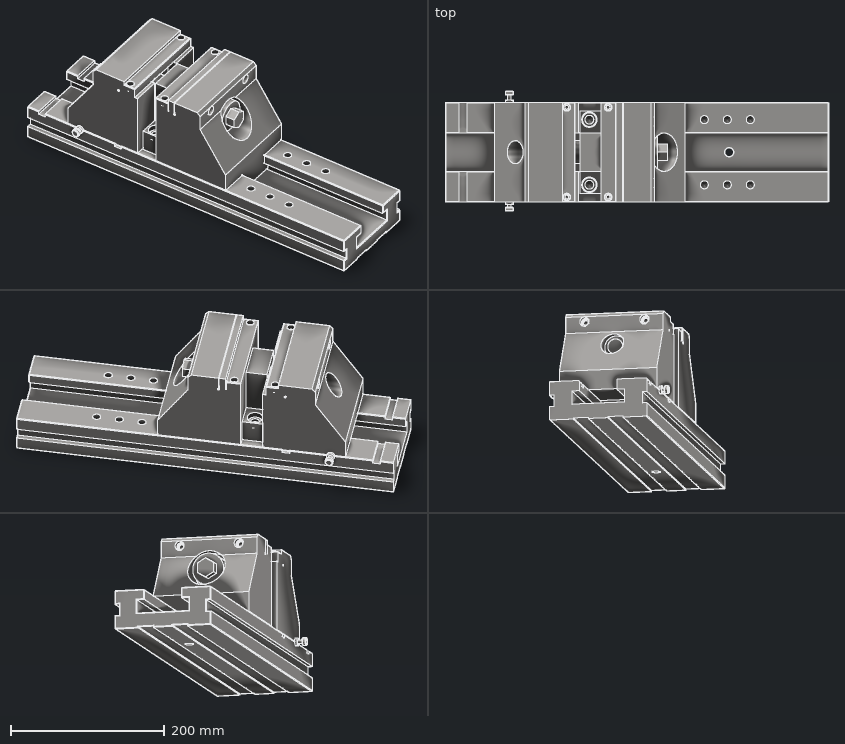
import cadquery as cq
import math

overall_height = 161.0
edge_chamfer = 1.0

rail_length = 500.0
half_width = 65.0
rail_height = 51.0
slot_half_width = 25.0
tee_half_width = 35.0
tee_floor = 20.0
tee_ceiling = 37.5
side_groove_bottom = 18.0
side_groove_top = 33.0
side_groove_depth = 6.0
foot_recess_near = 13.0
foot_recess_far = 33.0
foot_recess_depth = 1.5
key_groove_starts = (17.5, 137.5)
key_groove_width = 10.0
key_groove_depth = 4.5
tapped_hole_start = 337.5
tapped_hole_pitch = 30.0
tapped_hole_count = 3
tapped_hole_y = 42.5
tapped_hole_diameter = 10.5
tapped_hole_depth = 15.0
drain_hole_x = 370.0
drain_hole_diameter = 11.5

screw_sink_depth = 7.0
head_gap_depth = 2.5
socket_depth = 5.0
drill_point_angle = 118.0

jaw_length = 110.0
fixed_jaw_face = 173.5
moving_jaw_face = 202.5
jaw_top_setback = 40.0
jaw_shoulder = 77.0
jaw_slope_top = 135.0
jaw_top_chamfer = 4.5
seat_height = 142.0
pad_low_top = 156.0
pad_screw_y = 58.5
pad_screw_bore = 10.0
pad_screw_head = 8.5
pad_screw_socket = 5.0
seat_relief_diameter = 2.5
back_bolt_y = 40.0
back_bolt_z = 150.0
back_bolt_bore = 12.0
back_bolt_head = 10.5
back_bolt_socket = 7.0

fixed_pad_back = 143.5
fixed_pad_step = 152.5
fixed_pad_face = 169.0
fixed_pad_screw_x = 158.0
moving_pad_step = 222.5
moving_seat_back = 232.0
moving_pad_screw_x = 212.0
relief_width = 1.0
relief_floor = 143.0

key_setback = 3.5
pocket_start = 160.0
locating_pin_x = 83.0
pin_diameter = 10.5
pin_neck_diameter = 5.0
pin_flange_thickness = 3.0
plus_y_neck_length = 6.5
minus_y_neck_length = 3.5
pin_head_thickness = 5.5
pin_head_chamfer = 1.0

tongue_bottom = 24.5
tongue_clearance = 1.0
tongue_chamfer = 1.5

screw_axis_z = 116.5
screw_diameter = 30.0
screw_tip_x = 110.0
screw_tip_chamfer = 5.0
collar_bore = 50.0
collar_diameter = 42.0
collar_start = 250.0
collar_end = 276.5
hex_end = 289.5
hex_across_flats = 22.0
hex_sides = 6
block_start = 175.0
block_half_width = 54.0
block_flange_top = 81.5
block_bolt_x = 187.5
bolt_head_bore = 20.0
bolt_head_diameter = 18.0
bolt_socket_diameter = 11.5

jaw_top_length = jaw_length - jaw_top_setback
fixed_jaw_back = fixed_jaw_face - jaw_length
fixed_jaw_top_back = fixed_jaw_face - jaw_top_length
moving_jaw_back = moving_jaw_face + jaw_length
moving_jaw_top_back = moving_jaw_face + jaw_top_length
key_floor = rail_height - key_groove_depth


def box(x_range, y_range, z_range):
    """Block spanning three (low, high) ranges."""
    size = [high - low for low, high in (x_range, y_range, z_range)]
    corner = (x_range[0], y_range[0], z_range[0])
    return cq.Workplane("XY").box(*size, centered=False).translate(corner)


def across(half):
    """Range centred on the mid-plane of the vise."""
    return (-half, half)


def rod_x(diameter, start, end):
    """Cylinder on the clamping screw's axis."""
    return cq.Workplane("YZ", origin=(start, 0, screw_axis_z)).circle(diameter / 2).extrude(end - start)


def drilled_hole(x, y, top, diameter, depth):
    """Blind vertical hole with a conical drill point."""
    radius = diameter / 2
    point = radius / math.tan(math.radians(drill_point_angle / 2))
    profile = [(0, 0), (radius, 0), (radius, -depth), (0, -depth - point)]
    hole = cq.Workplane("XZ").polyline(profile).close().revolve(360, (0, 0), (0, 1))
    return hole.translate((x, y, top))


def screw_recess(bore, head, socket):
    """Material to remove around and inside a sunk screw head; the bore opens at the origin, facing +Z."""
    sink = cq.Workplane("XY").circle(bore / 2).extrude(-screw_sink_depth)
    gap = sink.faces("<Z").workplane().circle(bore / 2).circle(head / 2).extrude(head_gap_depth)
    return gap.union(drilled_hole(0, 0, -screw_sink_depth, socket, socket_depth))


def make_rail():
    inner = half_width - side_groove_depth
    right_side = [
        (foot_recess_near, 0),
        (foot_recess_near, foot_recess_depth),
        (foot_recess_far, foot_recess_depth),
        (foot_recess_far, 0),
        (half_width - edge_chamfer, 0),
        (half_width, edge_chamfer),
        (half_width, side_groove_bottom),
        (inner, side_groove_bottom),
        (inner, side_groove_top),
        (half_width, side_groove_top),
        (half_width, rail_height - edge_chamfer),
        (half_width - edge_chamfer, rail_height),
        (slot_half_width + edge_chamfer, rail_height),
        (slot_half_width, rail_height - edge_chamfer),
        (slot_half_width, tee_ceiling),
        (tee_half_width, tee_ceiling),
        (tee_half_width, tee_floor),
    ]
    left_side = [(-y, z) for y, z in reversed(right_side)]
    rail = cq.Workplane("YZ").polyline(right_side + left_side).close().extrude(rail_length)
    rail = rail.faces(">X").chamfer(edge_chamfer)
    for start in key_groove_starts:
        rail = rail.cut(box((start, start + key_groove_width), across(half_width), (key_floor, rail_height)))
    for index in range(tapped_hole_count):
        x = tapped_hole_start + index * tapped_hole_pitch
        for y in (-tapped_hole_y, tapped_hole_y):
            rail = rail.cut(drilled_hole(x, y, rail_height, tapped_hole_diameter, tapped_hole_depth))
    drain_hole = cq.Workplane("XY").center(drain_hole_x, 0).circle(drain_hole_diameter / 2)
    return rail.cut(drain_hole.extrude(tee_floor))


def jaw_body(face, top_back, back, seat_back):
    """Sloped-back jaw with a seat for its plate; the face may look toward +X or -X."""
    toward_back = math.copysign(1, back - face)
    outline = [
        (face, rail_height),
        (back, rail_height),
        (back, jaw_shoulder),
        (top_back, jaw_slope_top),
        (top_back, overall_height - jaw_top_chamfer),
        (top_back - toward_back * jaw_top_chamfer, overall_height),
        (seat_back, overall_height),
        (seat_back, seat_height),
        (face, seat_height),
    ]
    body = cq.Workplane("XZ").polyline(outline).close().extrude(half_width, both=True)
    bolt = screw_recess(back_bolt_bore, back_bolt_head, back_bolt_socket)
    bolt = bolt.rotate((0, 0, 0), (0, 1, 0), toward_back * 90)
    for y in (-back_bolt_y, back_bolt_y):
        body = body.cut(bolt.translate((top_back, y, back_bolt_z)))
    relief = cq.Workplane("XZ").center(seat_back, seat_height).circle(seat_relief_diameter / 2)
    body = body.cut(relief.extrude(half_width, both=True))
    return body


def jaw_plate(face, step, back, screw_x):
    """Stepped plate with a low front strip, two screw holes and a taller rear strip."""
    front = box(sorted((face, step)), across(half_width), (seat_height, pad_low_top))
    front = front.faces(">Z").edges("|X or >X").chamfer(edge_chamfer)
    rear = box(sorted((step, back)), across(half_width), (seat_height, overall_height))
    plate = front.union(rear)
    for y in (-pad_screw_y, pad_screw_y):
        screw = screw_recess(pad_screw_bore, pad_screw_head, pad_screw_socket)
        plate = plate.cut(screw.translate((screw_x, y, pad_low_top)))
    return plate


def locating_pin(side, neck_length):
    """Flange, neck and head standing out from one side of the jaw along Y."""
    neck_start = half_width + pin_flange_thickness
    head_start = neck_start + neck_length

    def section(diameter, start, length):
        base = cq.Workplane("XZ", origin=(locating_pin_x, side * start, rail_height))
        return base.circle(diameter / 2).extrude(-side * length)

    flange = section(pin_diameter, half_width, pin_flange_thickness)
    neck = section(pin_neck_diameter, neck_start, neck_length)
    head = section(pin_diameter, head_start, pin_head_thickness).edges().chamfer(pin_head_chamfer)
    return flange.union(neck).union(head)


def make_fixed_jaw():
    jaw = jaw_body(fixed_jaw_face, fixed_jaw_top_back, fixed_jaw_back, fixed_pad_back)
    jaw = jaw.cut(box((pocket_start, fixed_jaw_face), across(slot_half_width), (rail_height, seat_height)))
    jaw = jaw.cut(rod_x(screw_diameter, fixed_jaw_back, fixed_jaw_face))
    key_start = key_groove_starts[1]
    key_x = (key_start, key_start + key_groove_width)
    jaw = jaw.union(box(key_x, across(half_width - key_setback), (key_floor, rail_height)))
    for side, neck_length in ((-1, minus_y_neck_length), (1, plus_y_neck_length)):
        jaw = jaw.union(locating_pin(side, neck_length))
    plate = jaw_plate(fixed_pad_face, fixed_pad_step, fixed_pad_back, fixed_pad_screw_x)
    return jaw.union(plate, clean=False)


def make_moving_jaw():
    jaw = jaw_body(moving_jaw_face, moving_jaw_top_back, moving_jaw_back, moving_seat_back)
    jaw = jaw.cut(rod_x(screw_diameter, moving_jaw_face, collar_start))
    jaw = jaw.cut(rod_x(collar_bore, collar_start, moving_jaw_back))
    jaw_x = (moving_jaw_face, moving_jaw_back)
    tongue_head = tee_half_width - tongue_clearance
    jaw = jaw.union(box(jaw_x, across(slot_half_width), (tongue_bottom, rail_height)))
    tee = box(jaw_x, across(tongue_head), (tongue_bottom, tee_ceiling))
    jaw = jaw.union(tee.edges("|X and >Z").chamfer(tongue_chamfer))
    plate = jaw_plate(moving_jaw_face, moving_pad_step, moving_seat_back, moving_pad_screw_x)
    jaw = jaw.union(plate, clean=False)
    for end in (moving_pad_step, moving_seat_back):
        slot_x = (end - relief_width, end)
        jaw = jaw.cut(box(slot_x, across(half_width), (relief_floor, overall_height)), clean=False)
    return jaw


def make_screw_unit():
    block_x = (block_start, moving_jaw_face)
    unit = box(block_x, across(block_half_width), (rail_height, block_flange_top))
    unit = unit.union(box(block_x, across(slot_half_width), (rail_height, seat_height)))
    for y in (-tapped_hole_y, tapped_hole_y):
        bolt = screw_recess(bolt_head_bore, bolt_head_diameter, bolt_socket_diameter)
        unit = unit.cut(bolt.translate((block_bolt_x, y, block_flange_top)))
    shank = rod_x(screw_diameter, screw_tip_x, collar_start).faces("<X").chamfer(screw_tip_chamfer)
    collar = rod_x(collar_diameter, collar_start, collar_end)
    hex_corners = hex_across_flats / math.cos(math.pi / hex_sides)
    drive = (
        cq.Workplane("YZ", origin=(collar_end, 0, screw_axis_z))
        .transformed(rotate=(0, 0, 90))
        .polygon(hex_sides, hex_corners)
        .extrude(hex_end - collar_end)
    )
    return unit.union(shank).union(collar).union(drive)


rail = make_rail()
fixed_jaw = make_fixed_jaw()
moving_jaw = make_moving_jaw()
screw_unit = make_screw_unit()

result = cq.Compound.makeCompound([rail.val(), fixed_jaw.val(), moving_jaw.val(), screw_unit.val()])